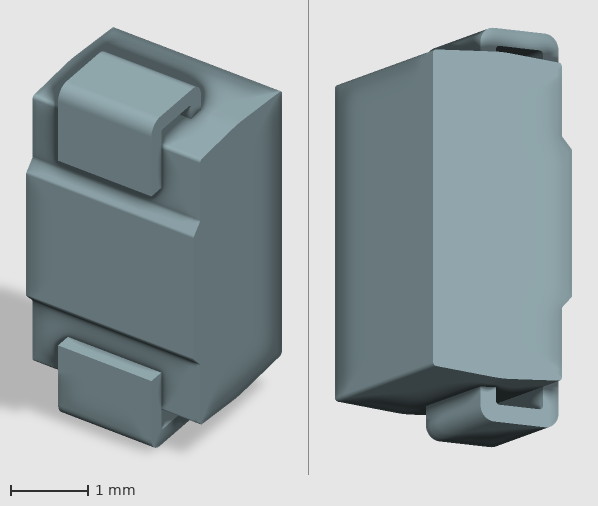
import cadquery as cq
import math

OVERALL_DEPTH = 2.18
OVERALL_HEIGHT = 5.2
BODY_WIDTH = 2.603
BODY_DEPTH = 1.91
PARTING_DEPTH = 1.025
BODY_END_HEIGHT = 4.31
DRAFT_ANGLE = math.radians(4)
RIDGE_RADIUS = 1.64
BODY_EDGE_RADIUS = 0.05

PAD_RISE = 0.15
PAD_LENGTH = 1.94
PAD_BEVEL_LENGTH = 0.16

LEAD_WIDTH = 1.45
LEAD_SPAN = 1.155
LEAD_THICKNESS = 0.23
LEAD_FOOT_LENGTH = 1.14
LEAD_OUTER_RADIUS = 0.2
LEAD_INNER_RADIUS = 0.05
LEAD_EMBED = 0.3

SELECT_TOLERANCE = 0.001

BACK_Y = OVERALL_DEPTH / 2
FRONT_Y = -OVERALL_DEPTH / 2
BODY_FRONT_Y = BACK_Y - BODY_DEPTH
PAD_Y = BODY_FRONT_Y - PAD_RISE
RIDGE_Y = BACK_Y - PARTING_DEPTH
RIDGE_Z = BODY_END_HEIGHT / 2 + RIDGE_RADIUS * (1 / math.cos(DRAFT_ANGLE) - 1)
PAD_TOP_Z = PAD_LENGTH / 2
PAD_ROOT_Z = PAD_TOP_Z + PAD_BEVEL_LENGTH
LEAD_TOP_Z = OVERALL_HEIGHT / 2
STEM_BACK_Y = FRONT_Y + LEAD_SPAN


def end_face_z(y):
    """Height of the drafted end face at a given Y, before rounding."""
    return RIDGE_Z - abs(y - RIDGE_Y) * math.tan(DRAFT_ANGLE)


def edge_box(y, z):
    """Box selector around the edge that runs along X at the given Y and Z."""
    low_corner = (-BODY_WIDTH, y - SELECT_TOLERANCE, z - SELECT_TOLERANCE)
    high_corner = (BODY_WIDTH, y + SELECT_TOLERANCE, z + SELECT_TOLERANCE)
    return cq.selectors.BoxSelector(low_corner, high_corner)


def make_body():
    upper_half = [
        (BACK_Y, end_face_z(BACK_Y)),
        (RIDGE_Y, RIDGE_Z),
        (BODY_FRONT_Y, end_face_z(BODY_FRONT_Y)),
        (BODY_FRONT_Y, PAD_ROOT_Z),
        (PAD_Y, PAD_TOP_Z),
    ]
    lower_half = [(y, -z) for y, z in reversed(upper_half)]
    body = (
        cq.Workplane("YZ")
        .polyline(upper_half + lower_half)
        .close()
        .extrude(BODY_WIDTH / 2, both=True)
    )
    for y, z in upper_half:
        radius = RIDGE_RADIUS if y == RIDGE_Y else BODY_EDGE_RADIUS
        body = body.edges(edge_box(y, z) + edge_box(y, -z)).fillet(radius)
    return body


def make_upper_lead():
    stem_bottom_z = BODY_END_HEIGHT / 2 - LEAD_EMBED
    bend_underside_z = LEAD_TOP_Z - LEAD_THICKNESS
    foot_end_z = LEAD_TOP_Z - LEAD_FOOT_LENGTH
    stem_front_y = STEM_BACK_Y - LEAD_THICKNESS
    foot_inner_y = FRONT_Y + LEAD_THICKNESS
    outer_bends = [(STEM_BACK_Y, LEAD_TOP_Z), (FRONT_Y, LEAD_TOP_Z)]
    inner_bends = [(foot_inner_y, bend_underside_z), (stem_front_y, bend_underside_z)]
    foot_end = [(FRONT_Y, foot_end_z), (foot_inner_y, foot_end_z)]
    stem_end = [(stem_front_y, stem_bottom_z), (STEM_BACK_Y, stem_bottom_z)]
    lead = (
        cq.Workplane("YZ")
        .polyline(outer_bends + foot_end + inner_bends + stem_end)
        .close()
        .extrude(LEAD_WIDTH / 2, both=True)
    )
    for y, z in outer_bends:
        lead = lead.edges(edge_box(y, z)).fillet(LEAD_OUTER_RADIUS)
    for y, z in inner_bends:
        lead = lead.edges(edge_box(y, z)).fillet(LEAD_INNER_RADIUS)
    return lead


upper_lead = make_upper_lead()
lower_lead = upper_lead.mirror("XY")
result = make_body().union(upper_lead).union(lower_lead)